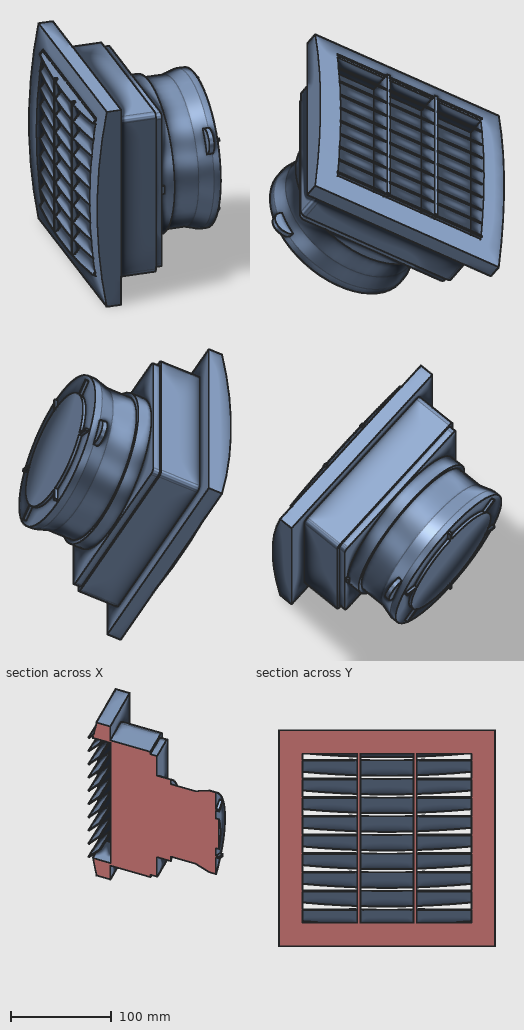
import cadquery as cq
import math


frame_side = 215.0
frame_half = frame_side / 2
frame_back = 25.2
frame_bow = 10.0

opening_side = 167.7
opening_half = opening_side / 2

blade_count = 10
blade_span = 167.0
blade_pitch = blade_span / (blade_count - 1)
blade_drop = 1.25
blade_thickness = 1.0
blade_depth = 12.0
slope_stretch = math.hypot(1, blade_drop)
blade_bow = 3.2
top_blade_tip = 81.0

bar_width = 3.5
bar_offset = opening_side / 6

housing_side = 176.3
housing_back = 68.2
flange_side = 169.6
flange_back = 75.5
corner_radius = 5.2

collar_radius = 80.8
neck_radius = 76.5
collar_back = 90.0
neck_back = 116.5
flare_back = 131.2
rim_back = 138.7

overall_depth = 142.0
hub_radius = 60.6
spoke_count = 6
first_spoke_angle = 30
spoke_width = 2.5

tab_radius = 13.1
tab_thickness = 5.2
tab_pitch_radius = 80.0
tab_angles = (30, 210)

block_reach = 83.2
block_length = 8.5
block_width = 8.5
block_height = 3.2


def square_block(side, y_start, y_end):
    """Square prism centred on the fan axis, between two y positions."""
    block = cq.Workplane("XY").box(side, y_end - y_start, side)
    return block.translate((0, (y_start + y_end) / 2, 0))


def disc(radius, y_start, y_end, x=0.0, z=0.0):
    """Cylinder along Y between two y positions."""
    start = cq.Vector(x, y_start, z)
    return cq.Workplane(cq.Solid.makeCylinder(radius, y_end - y_start, start, cq.Vector(0, 1, 0)))


def make_frame():
    """Square frame whose front is bowed about X, with the grille pocket cut in."""
    frame = (
        cq.Workplane("YZ")
        .moveTo(frame_back, -frame_half)
        .lineTo(frame_bow, -frame_half)
        .threePointArc((0, 0), (frame_bow, frame_half))
        .lineTo(frame_back, frame_half)
        .close()
        .extrude(frame_half, both=True)
    )
    return frame.cut(square_block(opening_side, 0, frame_back))


def make_blades():
    """List of sloping blades whose front and back edges are arcs, square to the blade face."""
    slope_bow = blade_bow * slope_stretch
    slope_depth = blade_depth * slope_stretch
    blade = (
        cq.Workplane("XY")
        .moveTo(-opening_half, slope_bow)
        .threePointArc((0, 0), (opening_half, slope_bow))
        .lineTo(opening_half, slope_bow + slope_depth)
        .threePointArc((0, slope_depth), (-opening_half, slope_bow + slope_depth))
        .close()
        .extrude(-blade_thickness)
        .rotate((0, 0, 0), (1, 0, 0), math.degrees(math.atan(blade_drop)))
    )
    return [blade.translate((0, 0, top_blade_tip - index * blade_pitch)) for index in range(blade_count)]


def make_bar(x):
    """Upright bar running from the grille front to the pocket floor."""
    return cq.Workplane("XY").box(bar_width, frame_back, opening_side).translate((x, frame_back / 2, 0))


def make_housing():
    """Square housing and the smaller flange behind it, corners rounded."""
    housing = square_block(housing_side, frame_back, housing_back).edges("|Y").fillet(corner_radius)
    flange = square_block(flange_side, housing_back, flange_back).edges("|Y").fillet(corner_radius)
    return housing.union(flange)


def make_spigot():
    """Turned spigot: collar, narrower neck, flare and rim."""
    return (
        cq.Workplane("XY")
        .moveTo(0, flange_back)
        .lineTo(collar_radius, flange_back)
        .lineTo(collar_radius, collar_back)
        .lineTo(neck_radius, collar_back)
        .lineTo(neck_radius, neck_back)
        .lineTo(collar_radius, flare_back)
        .lineTo(collar_radius, rim_back)
        .lineTo(0, rim_back)
        .close()
        .revolve(360, (0, 0, 0), (0, 1, 0))
    )


def make_hub():
    """Raised hub with radial spokes on the rear end of the spigot."""
    hub = disc(hub_radius, rim_back, overall_depth)
    spoke = cq.Workplane("XY").box(neck_radius, overall_depth - rim_back, spoke_width)
    spoke = spoke.translate((neck_radius / 2, (rim_back + overall_depth) / 2, 0))
    for index in range(spoke_count):
        angle = first_spoke_angle + index * 360 / spoke_count
        hub = hub.union(spoke.rotate((0, 0, 0), (0, 1, 0), angle))
    return hub


def make_tab(angle):
    """Round tab standing out from the flare, against the rim."""
    x = tab_pitch_radius * math.cos(math.radians(angle))
    z = tab_pitch_radius * math.sin(math.radians(angle))
    return disc(tab_radius, flare_back - tab_thickness, flare_back, x, z)


def make_block():
    """Small block on the flange beside the collar."""
    block = cq.Workplane("XY").box(block_length, block_height, block_width)
    return block.translate((block_reach - block_length / 2, flange_back + block_height / 2, 0))


result = make_frame().union(make_housing()).union(make_spigot()).union(make_hub())
for blade in make_blades():
    result = result.union(blade)
for side in (-1, 1):
    result = result.union(make_bar(side * bar_offset))
for tab_angle in tab_angles:
    result = result.union(make_tab(tab_angle))
result = result.union(make_block())